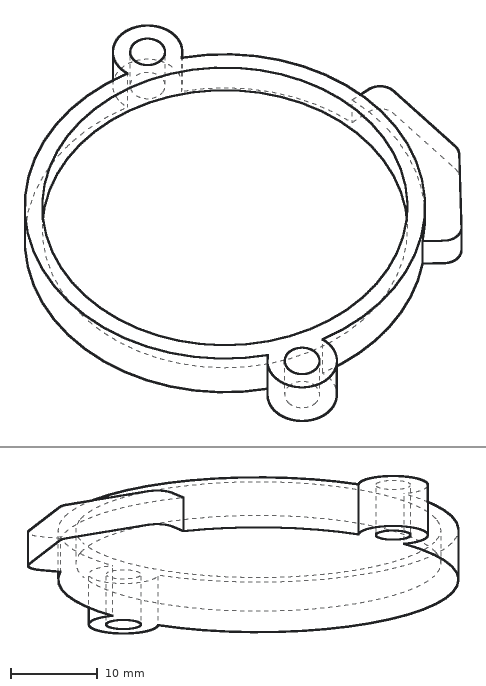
import cadquery as cq
import math

overall_length = 58.0
dish_radius = 23.0
pocket_radius = 21.0
dish_height = 6.0
floor_thickness = 2.0
ear_radius = 4.0
ear_hole_diameter = 4.0
ear_center_x = overall_length / 2 - ear_radius
ear_centers = [(-ear_center_x, 0), (ear_center_x, 0)]

tab_height = 4.0
tab_peak_y = 28.7
tab_corner_radius = 2.05
tab_slope = 19.5
tab_arm_length = 10.95
tab_end_length = 3.5


def make_dish():
    return cq.Workplane("XY").circle(dish_radius).extrude(dish_height)


def make_ears():
    return cq.Workplane("XY").pushPoints(ear_centers).circle(ear_radius).extrude(dish_height)


def mirrored(point):
    return cq.Vector(-point.x, point.y)


def make_tab():
    slope = math.radians(tab_slope)
    along_arm = cq.Vector(math.cos(slope), -math.sin(slope))
    outward = cq.Vector(math.sin(slope), math.cos(slope))
    peak_center = cq.Vector(0, tab_peak_y - tab_corner_radius)
    tip_center = peak_center + along_arm * tab_arm_length

    arm_start = peak_center + outward * tab_corner_radius
    arm_end = tip_center + outward * tab_corner_radius
    corner_middle = tip_center + (along_arm + outward).normalized() * tab_corner_radius
    corner_end = tip_center + along_arm * tab_corner_radius
    foot = corner_end - outward * tab_end_length

    outline = (
        cq.Workplane("XY")
        .moveTo(arm_start.x, arm_start.y)
        .lineTo(arm_end.x, arm_end.y)
        .threePointArc(corner_middle, corner_end)
        .lineTo(foot.x, foot.y)
        .lineTo(-foot.x, foot.y)
        .lineTo(-corner_end.x, corner_end.y)
        .threePointArc(mirrored(corner_middle), mirrored(arm_end))
        .lineTo(-arm_start.x, arm_start.y)
        .threePointArc((0, tab_peak_y), arm_start)
        .close()
    )
    return outline.extrude(tab_height)


def make_pocket():
    pocket_depth = dish_height - floor_thickness
    floor_plane = cq.Workplane("XY").workplane(offset=floor_thickness)
    return floor_plane.circle(pocket_radius).extrude(pocket_depth)


def make_ear_holes():
    hole_radius = ear_hole_diameter / 2
    return cq.Workplane("XY").pushPoints(ear_centers).circle(hole_radius).extrude(dish_height)


body = make_dish().union(make_ears()).union(make_tab())
result = body.cut(make_ear_holes()).cut(make_pocket())